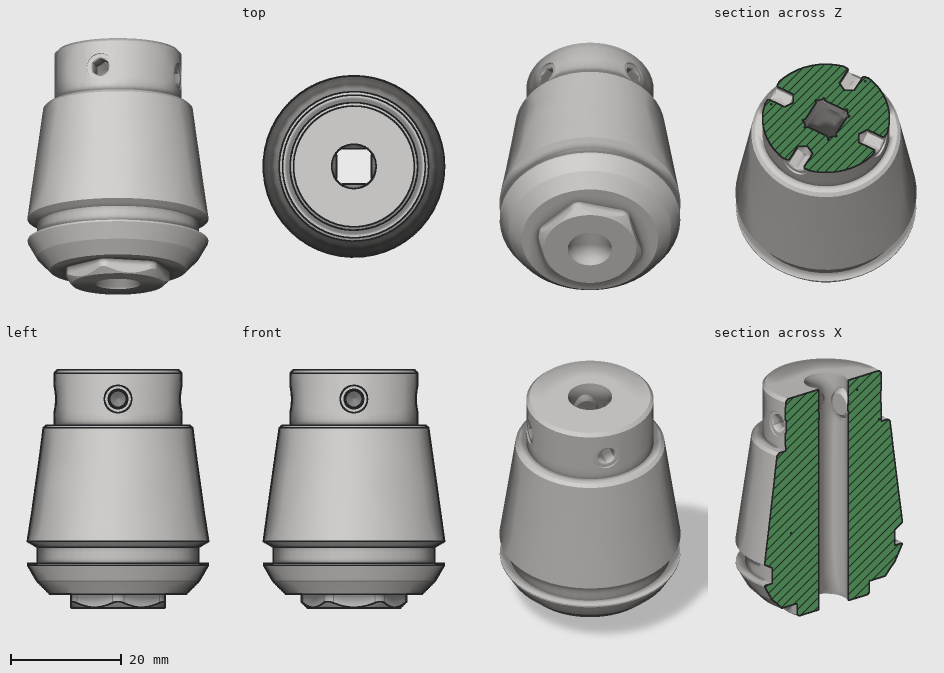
import cadquery as cq
import math

total_height = 43.0
outer_diameter = 32.72
bore_diameter = 8.0
hexagon_sides = 6

nut_height = 2.55
nut_across_flats = 17.0
nut_corner_radius = 2.0
nut_lead_diameter = 16.7

flange_bottom_diameter = 24.6
flange_middle_diameter = 29.33
flange_middle_z = 4.9
flange_rim_diameter = 32.6
flange_rim_z = 7.75
flange_top_z = 8.05

groove_diameter = 29.2
groove_top_z = 11.0

body_widest_z = 12.05
body_top_diameter = 26.95
shoulder_z = 33.02
shoulder_chamfer_height = 0.5
shoulder_chamfer_width = 0.6

neck_diameter = 23.0
neck_chamfer = 0.6

screw_count = 4
screw_z = 37.7
screw_diameter = 4.9
screw_face_radius = 11.15
screw_tip_radius = 3.15
screw_tip_diameter = 4.05
thread_diameter = 6.0
socket_across_flats = 3.0
socket_depth = 3.45
socket_point_angle = 120.0


def make_body():
    """Revolved outer shape above the nut."""
    outer_radius = outer_diameter / 2
    neck_radius = neck_diameter / 2
    body_top_radius = body_top_diameter / 2
    profile = [
        (0, nut_height),
        (flange_bottom_diameter / 2, nut_height),
        (flange_middle_diameter / 2, flange_middle_z),
        (flange_rim_diameter / 2, flange_rim_z),
        (flange_rim_diameter / 2, flange_top_z),
        (groove_diameter / 2, flange_top_z),
        (groove_diameter / 2, groove_top_z),
        (outer_radius, body_widest_z),
        (body_top_radius, shoulder_z - shoulder_chamfer_height),
        (body_top_radius - shoulder_chamfer_width, shoulder_z),
        (neck_radius, shoulder_z),
        (neck_radius, total_height - neck_chamfer),
        (neck_radius - neck_chamfer, total_height),
        (0, total_height),
    ]
    return cq.Workplane("XZ").polyline(profile).close().revolve(360, (0, 0), (0, 1))


def make_nut():
    """Hexagon with rounded corners along X and a conical lead-in at the bottom."""
    across_corners = nut_across_flats / math.cos(math.pi / hexagon_sides)
    hexagon = (
        cq.Workplane("XY")
        .polygon(hexagon_sides, across_corners)
        .extrude(nut_height)
        .edges("|Z")
        .fillet(nut_corner_radius)
    )
    lead_radius = nut_lead_diameter / 2
    lead_cone = (
        cq.Workplane("XY")
        .circle(lead_radius)
        .workplane(offset=nut_height)
        .circle(lead_radius + nut_height)
        .loft()
    )
    return hexagon.intersect(lead_cone)


def make_screw_hole():
    """Radial hole along +X, from the main axis to beyond the neck."""
    return cq.Workplane("YZ").center(0, screw_z).circle(screw_diameter / 2).extrude(neck_diameter)


def make_screw():
    """Set screw along +X: conical tip with a flat end in the bore, hexagon socket outside."""
    tip_length = (thread_diameter - screw_tip_diameter) / 2
    shank = (
        cq.Workplane("YZ", origin=(screw_tip_radius + tip_length, 0, screw_z))
        .circle(screw_diameter / 2)
        .extrude(screw_face_radius - screw_tip_radius - tip_length)
    )
    tip = (
        cq.Workplane("YZ", origin=(screw_tip_radius, 0, screw_z))
        .circle(screw_tip_diameter / 2)
        .workplane(offset=tip_length)
        .circle(thread_diameter / 2)
        .loft()
    )
    socket_across_corners = socket_across_flats / math.cos(math.pi / hexagon_sides)
    socket_corner_radius = socket_across_corners / 2
    socket = (
        cq.Workplane("YZ", origin=(screw_face_radius, 0, screw_z))
        .transformed(rotate=(0, 0, 90))
        .polygon(hexagon_sides, socket_across_corners)
        .extrude(-socket_depth)
    )
    mouth_depth = (socket_across_corners - socket_across_flats) / 2
    flat_radius = socket_across_flats / 2
    point_depth = flat_radius / math.tan(math.radians(socket_point_angle / 2))
    axis_start = (screw_face_radius, screw_z)
    bottom_x = screw_face_radius - socket_depth
    drilled = (
        cq.Workplane("XZ")
        .polyline([
            axis_start,
            (screw_face_radius, screw_z + socket_corner_radius),
            (screw_face_radius - mouth_depth, screw_z + flat_radius),
            (bottom_x, screw_z + flat_radius),
            (bottom_x - point_depth, screw_z),
        ])
        .close()
        .revolve(360, axis_start + (0,), (bottom_x, screw_z, 0))
    )
    return shank.union(tip).cut(socket).cut(drilled)


result = make_body().union(make_nut())
result = result.cut(cq.Workplane("XY").circle(bore_diameter / 2).extrude(total_height))

screw_hole = make_screw_hole()
screw = make_screw()
for index in range(screw_count):
    angle = index * 360 / screw_count
    result = result.cut(screw_hole.rotate((0, 0, 0), (0, 0, 1), angle))
    result = result.union(screw.rotate((0, 0, 0), (0, 0, 1), angle))